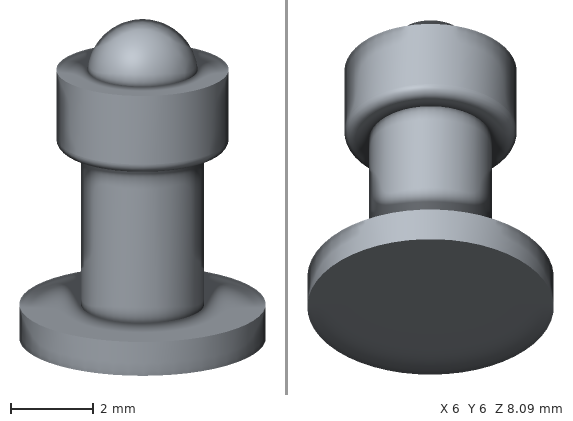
import cadquery as cq

flange_diameter = 6.0
flange_height = 0.865

stem_diameter = 3.0
stem_length = 4.0

collar_diameter = 4.2
collar_height = 2.01
collar_rim_radius = 0.25

ball_diameter = 2.7
overall_height = 8.09

collar_bottom = flange_height + stem_length
ball_center = overall_height - ball_diameter / 2


def cylinder(diameter, height, bottom):
    """Upright cylinder on the Z axis, starting at the given height."""
    return cq.Workplane("XY").workplane(offset=bottom).circle(diameter / 2).extrude(height)


flange = cylinder(flange_diameter, flange_height, 0)
stem = cylinder(stem_diameter, stem_length, flange_height)
collar = cylinder(collar_diameter, collar_height, collar_bottom).faces("<Z").edges().fillet(collar_rim_radius)
ball = cq.Workplane("XY").sphere(ball_diameter / 2).translate((0, 0, ball_center))

result = flange.union(stem).union(collar).union(ball)